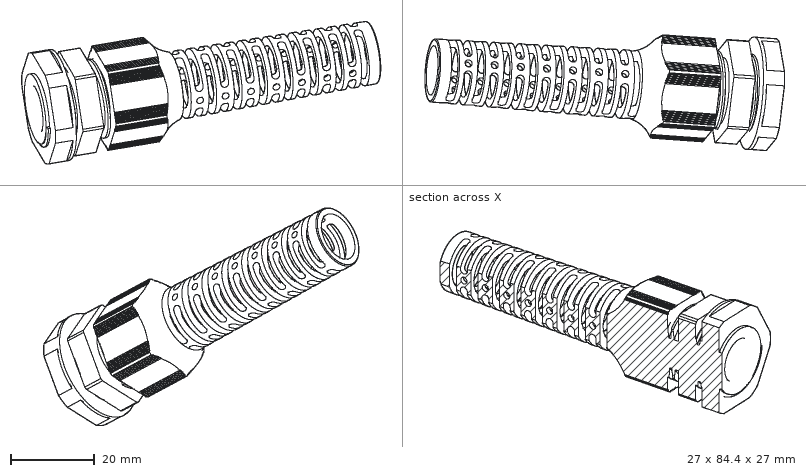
import cadquery as cq
import math


total_length = 84.4

locknut_start = 0.85
locknut_hex_end = 5.2
locknut_end = 6.1
locknut_radius = 13.5
locknut_flat_radius = 12.5

hex_flat_radius = 11.1
hex_corner_radius = 12.65
body_hex_start = 7.9
body_hex_end = 13.2
cap_start = 16.3
cap_shoulder = 29.0

cap_flat_half_width = 3.3
serration_pitch = 0.5
serration_depth = 0.2
serrations_per_side = 5

entry_core_radius = 8.5
entry_crest_radius = 9.4
entry_thread_start = 0.6
entry_thread_turns = 5
entry_thread_angle = 0
neck_radius = 8.0
neck_crest_radius = 9.6
neck_thread_start = 14.35
neck_thread_turns = 1.75
neck_thread_angle = 90
thread_pitch = 1.6
thread_base_width = 1.2
thread_crest_width = 0.6
thread_embed = 0.2

dome_end = 34.6
dome_mid_radius = 9.0
dome_mid = 32.7

sleeve_base_radius = 8.3
sleeve_tip_radius = 7.6
sleeve_base_bore = 5.65
sleeve_tip_bore = 5.9
tip_chamfer = 0.25

slot_width = 1.9
slot_pitch = 6.4
first_slot = dome_end + slot_width / 2
side_slot_count = 8
side_slot_half_rib = 0.85
top_slot_count = side_slot_count - 1
top_slot_half_rib_base = 2.4
top_slot_half_rib_tip = 1.85
rib_hole_diameter = 1.7

bore_radius = 5.4
bore_mouth_rounding = 0.85
seal_start = 18.6
seal_front_radius = 4.55
seal_radius = 4.0
seal_end = 28.7

cut_reach = 16.9


def disc(radius, start, end):
    return cq.Workplane("XY").workplane(offset=start).circle(radius).extrude(end - start)


def hexagon(flat_radius, start, end):
    corner_diameter = 2 * flat_radius / math.cos(math.pi / 6)
    return cq.Workplane("XY").workplane(offset=start).polygon(6, corner_diameter).extrude(end - start)


def thread(core_radius, crest_radius, start, turns, start_angle):
    """Right-hand thread ridge with a trapezoidal section."""
    inner = core_radius - thread_embed
    path = cq.Wire.makeHelix(thread_pitch, thread_pitch * turns, core_radius)
    section = cq.Workplane("XZ").polyline([
        (inner, -thread_base_width / 2),
        (crest_radius, -thread_crest_width / 2),
        (crest_radius, thread_crest_width / 2),
        (inner, thread_base_width / 2),
    ]).close()
    ridge = section.sweep(cq.Workplane(path), isFrenet=True)
    return ridge.rotate((0, 0, 0), (0, 0, 1), start_angle).translate((0, 0, start))


def make_locknut():
    flange = disc(locknut_radius, locknut_hex_end, locknut_end)
    grip = hexagon(locknut_flat_radius, locknut_start, locknut_hex_end)
    return flange.union(grip.intersect(disc(locknut_radius, locknut_start, locknut_hex_end)))


def threaded_barrel(core_radius, crest_radius, start, end, thread_start, turns, start_angle):
    ridge = thread(core_radius, crest_radius, thread_start, turns, start_angle)
    return disc(core_radius, start, end).union(ridge)


def make_body():
    """Hexagon with a threaded barrel on each side, the barrels reaching inside the parts next to them."""
    entry = threaded_barrel(
        entry_core_radius, entry_crest_radius, 0, body_hex_end,
        entry_thread_start, entry_thread_turns, entry_thread_angle,
    )
    neck = threaded_barrel(
        neck_radius, neck_crest_radius, body_hex_start, seal_start,
        neck_thread_start, neck_thread_turns, neck_thread_angle,
    )
    grip = hexagon(hex_flat_radius, body_hex_start, body_hex_end)
    grip = grip.intersect(disc(hex_corner_radius, body_hex_start, body_hex_end))
    return grip.union(entry).union(neck)


def serrated_hexagon():
    """Outline points of a hexagon with V grooves on both sides of every corner."""
    offsets = [cap_flat_half_width + i * serration_pitch / 2 for i in range(2 * serrations_per_side + 1)]
    depths = [serration_depth * (i % 2) for i in range(len(offsets))]
    corner = hex_flat_radius * math.tan(math.pi / 6)
    right_side = list(zip(offsets, depths)) + [(corner, 0)]
    left_side = [(-offset, depth) for offset, depth in reversed(right_side[:-1])]
    points = []
    for face in range(6):
        angle = math.radians(30 + 60 * face)
        for offset, depth in left_side + right_side:
            radial = hex_flat_radius - depth
            points.append((
                radial * math.cos(angle) - offset * math.sin(angle),
                radial * math.sin(angle) + offset * math.cos(angle),
            ))
    return points


def make_cap():
    """Cap nut whose top flows into the sleeve along a hollow curve."""
    profile = (
        cq.Workplane("XZ")
        .moveTo(0, cap_start)
        .lineTo(hex_corner_radius, cap_start)
        .lineTo(hex_corner_radius, cap_shoulder)
        .threePointArc((dome_mid_radius, dome_mid), (sleeve_base_radius, dome_end))
        .lineTo(0, dome_end)
        .close()
        .revolve(360, (0, 0), (0, 1))
    )
    prism = (
        cq.Workplane("XY").workplane(offset=cap_start)
        .polyline(serrated_hexagon()).close().extrude(dome_end - cap_start)
    )
    return profile.intersect(prism)


def slot_pair(plane, height, half_rib):
    """Two round-ended slots that leave a rib between them, cut right across the sleeve."""
    slot_length = cut_reach - half_rib
    centre = half_rib + slot_length / 2
    return (
        cq.Workplane(plane)
        .pushPoints([(-centre, height), (centre, height)])
        .slot2D(slot_length, slot_width)
        .extrude(cut_reach, both=True)
    )


def make_sleeve():
    sleeve = (
        cq.Workplane("XZ")
        .polyline([
            (sleeve_base_bore, dome_end),
            (sleeve_base_radius, dome_end),
            (sleeve_tip_radius, total_length - tip_chamfer),
            (sleeve_tip_radius - tip_chamfer, total_length),
            (sleeve_tip_bore, total_length),
        ])
        .close()
        .revolve(360, (0, 0), (0, 1))
    )
    for i in range(side_slot_count):
        sleeve = sleeve.cut(slot_pair("XZ", first_slot + i * slot_pitch, side_slot_half_rib))
    rib_step = (top_slot_half_rib_tip - top_slot_half_rib_base) / (top_slot_count - 1)
    for i in range(top_slot_count):
        height = first_slot + (i + 0.5) * slot_pitch
        sleeve = sleeve.cut(slot_pair("YZ", height, top_slot_half_rib_base + i * rib_step))
        hole = cq.Workplane("YZ").center(0, height).circle(rib_hole_diameter / 2).extrude(cut_reach, both=True)
        sleeve = sleeve.cut(hole)
    return sleeve


def make_bore():
    """Passage with a rounded mouth, narrowed by the seal inside the cap nut."""
    round_shift = bore_mouth_rounding * (1 - math.sqrt(0.5))
    return (
        cq.Workplane("XZ")
        .moveTo(0, 0)
        .lineTo(bore_radius + bore_mouth_rounding, 0)
        .threePointArc((bore_radius + round_shift, round_shift), (bore_radius, bore_mouth_rounding))
        .lineTo(bore_radius, seal_start)
        .lineTo(seal_front_radius, seal_start)
        .lineTo(seal_radius, seal_start + seal_front_radius - seal_radius)
        .lineTo(seal_radius, seal_end)
        .lineTo(sleeve_base_bore, seal_end)
        .lineTo(sleeve_base_bore, dome_end)
        .lineTo(0, dome_end)
        .close()
        .revolve(360, (0, 0), (0, 1))
    )


gland = make_body().union(make_locknut()).union(make_cap()).cut(make_bore())
gland = gland.union(make_sleeve())
result = gland.rotate((0, 0, 0), (1, 0, 0), -90)